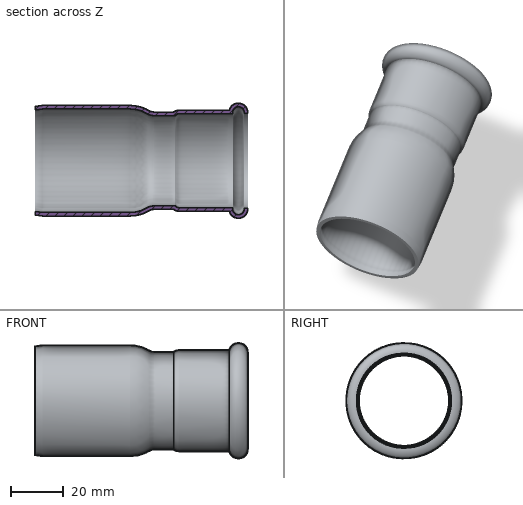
import cadquery as cq
import math

length = 80.5
wall = 1.5

spigot_radius = 42.0 / 2
spigot_tip_radius = 41.2 / 2
neck_radius = 37.0 / 2
socket_radius = 38.4 / 2
bead_radius = 43.7 / 2
mouth_radius = 35.8 / 2

tip_end = 2.9
shoulder_start = 36.0
shoulder_bend = 43.0
shoulder_end = 45.0
step_start = 52.4
step_end = 54.5

bead_width = 7.25
bead_section = bead_width / 2
bead_x = length - bead_section
bead_center_radius = bead_radius - bead_section

shoulder_run = shoulder_end - shoulder_start
shoulder_drop = spigot_radius - neck_radius
arc_sum = (shoulder_run**2 + shoulder_drop**2) / (2 * shoulder_drop)
outer_share = (shoulder_bend - shoulder_start) / shoulder_run
convex_radius = arc_sum * outer_share
concave_radius = arc_sum - convex_radius
shoulder_angle = math.asin(shoulder_run / arc_sum)
convex_center = (shoulder_start, spigot_radius - convex_radius)
concave_center = (shoulder_end, neck_radius + concave_radius)

step_rise = socket_radius - neck_radius
step_run = step_end - step_start
step_arc_radius = (step_run**2 + step_rise**2) / (2 * step_rise)
step_center_radius = socket_radius - step_arc_radius


def arc_point(center, radius, angle):
    """Point at an angle from the radial direction, leaning towards +X."""
    return center[0] + radius * math.sin(angle), center[1] + radius * math.cos(angle)


def profile_to_socket(depth):
    """Tube surface from the spigot tip to the socket, a given depth below the outside."""
    convex = convex_radius - depth
    concave = concave_radius + depth
    step_arc = step_arc_radius - depth
    step_angle = math.acos((neck_radius - depth - step_center_radius) / step_arc)
    step_center = (step_end, step_center_radius)
    return (
        cq.Workplane("XY")
        .moveTo(0, spigot_tip_radius - depth)
        .lineTo(tip_end, spigot_radius - depth)
        .lineTo(shoulder_start, spigot_radius - depth)
        .threePointArc(
            arc_point(convex_center, convex, shoulder_angle / 2),
            arc_point(convex_center, convex, shoulder_angle),
        )
        .threePointArc(
            arc_point(concave_center, -concave, shoulder_angle / 2),
            (shoulder_end, neck_radius - depth),
        )
        .lineTo(*arc_point(step_center, step_arc, -step_angle))
        .threePointArc(
            arc_point(step_center, step_arc, -step_angle / 2),
            (step_end, socket_radius - depth),
        )
    )


def turned(profile):
    """Close a profile down to the X axis and revolve it."""
    return profile.lineTo(length, 0).lineTo(0, 0).close().revolve(360, (0, 0, 0), (1, 0, 0))


def outer_body():
    bead_start = bead_x - math.sqrt(bead_section**2 - (socket_radius - bead_center_radius)**2)
    return turned(
        profile_to_socket(0)
        .lineTo(bead_start, socket_radius)
        .threePointArc((bead_x, bead_radius), (length, bead_center_radius))
    )


def bore():
    """Inside of the tube, with the seal groove under the bead."""
    groove_section = bead_section - wall
    groove_start = bead_x - groove_section
    groove_end = bead_x + groove_section
    return turned(
        profile_to_socket(wall)
        .lineTo(groove_start, socket_radius - wall)
        .lineTo(groove_start, bead_center_radius)
        .threePointArc((bead_x, bead_radius - wall), (groove_end, bead_center_radius))
        .lineTo(groove_end, mouth_radius)
        .lineTo(length, mouth_radius)
    )


result = outer_body().cut(bore())